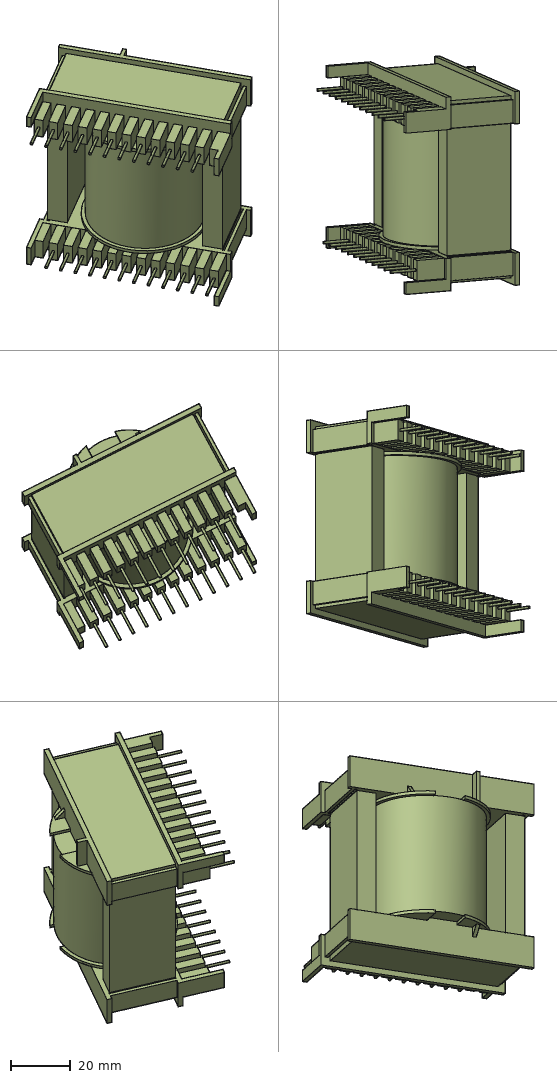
import cadquery as cq

frame_length = 66.9
height = 66.2
frame_depth = 11.1
plate_thickness = 1.75
core_depth = 23.4
side_wall_span = 64.1
side_wall_thickness = 1.15
side_wall_setback = 3.1
floor_length = 60.2
floor_thickness = 0.7

coil_radius = 20.1
disc_radius = 21.4
disc_thickness = 1.15
notch_width = 10.85

terminal_count = 13
terminal_pitch = 5.1
terminal_width = 3.1
terminal_length = 10.0
terminal_setback = 4.0
terminal_step = 0.1
arm_length = 14.6
arm_thickness = 1.6
pin_diameter = 0.95
pin_setback = 7.5
pin_tip_y = -32.45

rib_offset = 11.8
rib_thickness = 1.35
rib_length = 3.35

core_length = 60.9
core_shift = -0.35
core_setback = 2.0
post_diameter = 21.7
leg_width = 6.95
leg_gap = 0.3

half_height = height / 2
half_length = frame_length / 2
frame_inner_z = half_height - frame_depth
yoke_inner_z = frame_inner_z + floor_thickness
coil_top_z = frame_inner_z - disc_thickness
plate_inner_y = core_depth / 2
plate_outer_y = plate_inner_y + plate_thickness
terminal_top_z = half_height - terminal_setback
last_terminal_x = terminal_pitch * (terminal_count - 1) / 2


def block(x_range, y_range, z_range):
    """Box between the given limits along each axis."""
    limits = (x_range, y_range, z_range)
    sizes = [high - low for low, high in limits]
    corner = cq.Vector(*[low for low, high in limits])
    return cq.Workplane(cq.Solid.makeBox(*sizes, corner))


def cylinder(radius, z_low, z_high):
    """Upright cylinder on the Z axis."""
    return cq.Workplane("XY", origin=(0, 0, z_low)).circle(radius).extrude(z_high - z_low)


def make_end_frame():
    """Upper frame: plates, side walls and the floor under the yoke."""
    frame_z = (frame_inner_z, half_height)
    half_span = side_wall_span / 2
    wall_z = (frame_inner_z, half_height - side_wall_setback)

    frame = block((-half_length, half_length), (plate_inner_y, plate_outer_y), frame_z)
    frame = frame.union(block((-half_length, half_length), (-plate_outer_y, -plate_inner_y), frame_z))
    for wall_x in (-half_span, half_span - side_wall_thickness):
        wall = block((wall_x, wall_x + side_wall_thickness), (-plate_inner_y, plate_inner_y), wall_z)
        frame = frame.union(wall)

    floor_x = (-floor_length / 2, floor_length / 2)
    floor_z = (frame_inner_z, yoke_inner_z)
    return frame.union(block(floor_x, (-plate_inner_y, plate_inner_y), floor_z))


def make_disc():
    """Upper end disc with a notch at the back that bares the end of the coil."""
    disc_z = (coil_top_z, frame_inner_z)
    notch = block((-notch_width / 2, notch_width / 2), (plate_outer_y, disc_radius), disc_z)
    return cylinder(disc_radius, *disc_z).cut(notch)


def make_terminals():
    """Upper terminal row: blocks, pins in all but the last block, and the two end arms."""
    block_end_y = -plate_outer_y - terminal_length
    arm_y = (-plate_outer_y - arm_length, -plate_outer_y)
    upper_z = (terminal_top_z, half_height)
    lower_z = (frame_inner_z, terminal_top_z)
    block_z = (frame_inner_z + terminal_step, terminal_top_z)

    terminals = block((-half_length, -half_length + arm_thickness), arm_y, upper_z)
    terminals = terminals.union(block((half_length - arm_thickness, half_length), arm_y, lower_z))
    for i in range(terminal_count):
        x = i * terminal_pitch - last_terminal_x
        x_range = (x - terminal_width / 2, x + terminal_width / 2)
        terminals = terminals.union(block(x_range, (block_end_y, -plate_outer_y), block_z))
        if i < terminal_count - 1:
            pin_start = cq.Workplane("XZ", origin=(x, block_end_y, half_height - pin_setback))
            pin = pin_start.circle(pin_diameter / 2).extrude(block_end_y - pin_tip_y)
            terminals = terminals.union(pin)
    return terminals


def make_square_rib():
    """Full-height rib on the back of the upper frame."""
    x_range = (-rib_offset - rib_thickness / 2, -rib_offset + rib_thickness / 2)
    return block(x_range, (plate_outer_y, plate_outer_y + rib_length), (frame_inner_z, half_height))


def make_gusset():
    """Triangular rib on the back of the upper frame, sloping up to the plate."""
    return (
        cq.Workplane("YZ", origin=(rib_offset - rib_thickness / 2, 0, 0))
        .moveTo(plate_outer_y, frame_inner_z)
        .lineTo(plate_outer_y + rib_length, frame_inner_z)
        .lineTo(plate_outer_y, frame_inner_z + rib_length)
        .close()
        .extrude(rib_thickness)
    )


def make_post():
    """Round centre post between the inner faces of the yokes."""
    return cylinder(post_diameter / 2, -yoke_inner_z, yoke_inner_z)


def make_core():
    """Two yokes joined by a round centre post."""
    x_range = (core_shift - core_length / 2, core_shift + core_length / 2)
    y_range = (-core_depth / 2, core_depth / 2)
    yoke_top_z = half_height - core_setback
    core = make_post().union(block(x_range, y_range, (yoke_inner_z, yoke_top_z)))
    return core.union(block(x_range, y_range, (-yoke_top_z, -yoke_inner_z)))


def make_leg(side):
    """Outer core leg, standing between the yokes with an air gap at each end."""
    x = core_shift + side * (core_length - leg_width) / 2
    leg_half_height = frame_inner_z - leg_gap
    return block(
        (x - leg_width / 2, x + leg_width / 2),
        (-core_depth / 2, core_depth / 2),
        (-leg_half_height, leg_half_height),
    )


def make_bobbin():
    """Coil with both end frames; the lower end is the upper one turned about the Y axis."""
    end = make_end_frame().union(make_disc()).union(make_terminals()).union(make_gusset())
    turned_end = end.rotate((0, 0, 0), (0, 1, 0), 180)
    coil = cylinder(coil_radius, -coil_top_z, coil_top_z)
    bobbin = coil.union(end).union(turned_end).union(make_square_rib())
    return bobbin.cut(make_post())


bobbin = make_bobbin()
core = make_core()
legs = [make_leg(side) for side in (-1, 1)]

result = cq.Compound.makeCompound([bobbin.val(), core.val(), *[leg.val() for leg in legs]])